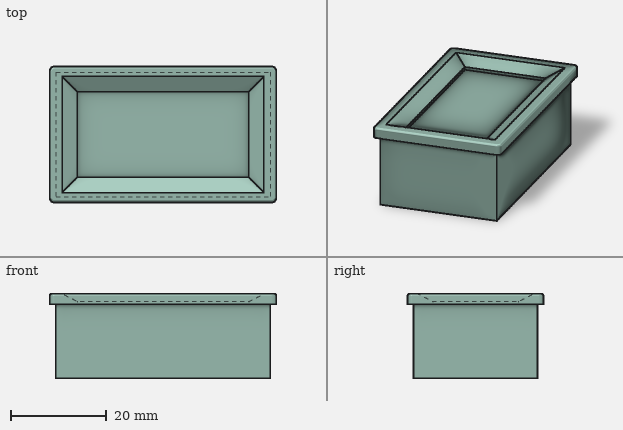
import cadquery as cq

flange_length = 47.5
flange_width = 28.5
total_height = 17.75

flange_overhang = 1.25
flange_thickness = 2.25
flange_corner_radius = 1.0
flange_edge_radius = 0.5

body_length = flange_length - 2 * flange_overhang
body_width = flange_width - 2 * flange_overhang
body_height = total_height - flange_thickness

floor_length = 36.0
floor_width = 18.0
slope_run = 3.15
slope_depth = 1.6
recess_depth = 2.25
opening_length = floor_length + 2 * slope_run
opening_width = floor_width + 2 * slope_run


def make_body():
    """Plain rectangular block standing on Z = 0."""
    return cq.Workplane("XY").box(body_length, body_width, body_height, centered=(True, True, False))


def make_flange():
    """Overhanging plate with rounded corners and a rounded top edge."""
    return (
        cq.Workplane("XY")
        .workplane(offset=body_height)
        .rect(flange_length, flange_width)
        .extrude(flange_thickness)
        .edges("|Z")
        .fillet(flange_corner_radius)
        .faces(">Z")
        .edges()
        .fillet(flange_edge_radius)
    )


def make_recess():
    """Volume removed from the top: a tapered mouth above a straight pocket."""
    mouth = (
        cq.Workplane("XY")
        .workplane(offset=total_height)
        .rect(opening_length, opening_width)
        .workplane(offset=-slope_depth)
        .rect(floor_length, floor_width)
        .loft(ruled=True)
    )
    pocket = (
        cq.Workplane("XY")
        .workplane(offset=total_height - recess_depth)
        .rect(floor_length, floor_width)
        .extrude(recess_depth)
    )
    return mouth.union(pocket)


result = make_body().union(make_flange()).cut(make_recess())